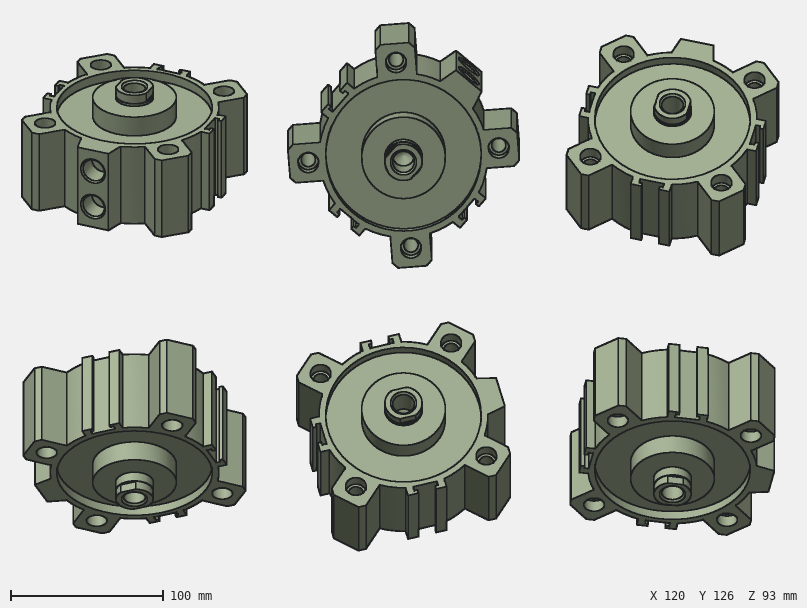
import cadquery as cq
import math

BARREL_HEIGHT = 57.2
BARREL_RADIUS = 55.5
HALF_SIDE = 60.0
TOP_Z = BARREL_HEIGHT / 2

RECESS_RADIUS = 51.0
RECESS_DEPTH = 6.7
BOSS_RADIUS = 27.5
BOSS_STANDOUT = 7.3
BOSS_TOP_Z = TOP_Z + BOSS_STANDOUT

EAR_WIDTH = 26.0
EAR_REACH = 75.5
EAR_HOLE_OFFSET = 44.4
EAR_HOLE_DIAMETER = 9.5
EAR_COUNTERBORE_DIAMETER = 13.5
EAR_COUNTERBORE_DEPTH = 8.7

RAIL_WIDTH = 26.2
SLOT_FLOOR = 54.4
SLOT_WIDTH = 16.1
SLOT_OPENING = 11.8
SLOT_LIP = 2.5
SLOT_DIRECTIONS = (0, 90, 180)

PORT_FACE_Y = -66.0
PORT_BLOCK_WIDTH = 22.2
PORT_BLOCK_TAPER = 14
PORT_SPACING = 26.5
PORT_DIAMETER = 15.4
PORT_MOUTH_DIAMETER = 17.6
PORT_DEPTH = 15.0

ROD_RADIUS = 12.5
COLLAR_TOP = 1.8
COLLAR_BOTTOM = 6.8
TIP_RADIUS = 12.2
TIP_LENGTH = 6.3
FLATS_LENGTH = 5.9
FLATS_WIDTH = 22.0
ROD_HOLE_DIAMETER = 14.2
ROD_HOLE_MOUTH_DIAMETER = 17.0
ROD_HOLE_DEPTH = 20.2
DRILL_POINT_ANGLE = 118


def column(outline):
    """Extrude an outline in XY over the full barrel height."""
    return outline.extrude(BARREL_HEIGHT)


def base_plane():
    """XY plane at the bottom face of the barrel."""
    return cq.Workplane("XY").workplane(offset=-TOP_Z)


def make_ear():
    """Ear at 45 degrees, trimmed to the common square."""
    bar = column(base_plane().center(EAR_REACH / 2, 0).rect(EAR_REACH, EAR_WIDTH))
    square = column(base_plane().rect(2 * HALF_SIDE, 2 * HALF_SIDE))
    return bar.rotate((0, 0, 0), (0, 0, 1), 45).intersect(square)


def make_ear_hole():
    """Through hole along Z with a counterbore at each end."""
    hole = column(base_plane().circle(EAR_HOLE_DIAMETER / 2))
    counterbore_z = TOP_Z - EAR_COUNTERBORE_DEPTH
    for z in (counterbore_z, -TOP_Z):
        counterbore = cq.Workplane("XY").workplane(offset=z).circle(EAR_COUNTERBORE_DIAMETER / 2)
        hole = hole.union(counterbore.extrude(EAR_COUNTERBORE_DEPTH))
    return hole.translate((EAR_HOLE_OFFSET, EAR_HOLE_OFFSET, 0))


def make_rail():
    """Block on the +X side that carries one T-slot."""
    return column(base_plane().center(HALF_SIDE / 2, 0).rect(HALF_SIDE, RAIL_WIDTH))


def make_slot():
    """T-slot cutter on the +X side."""
    lip_x = HALF_SIDE - SLOT_LIP
    wide = base_plane().center((SLOT_FLOOR + lip_x) / 2, 0).rect(lip_x - SLOT_FLOOR, SLOT_WIDTH)
    opening = base_plane().center((SLOT_FLOOR + HALF_SIDE) / 2, 0)
    opening = opening.rect(HALF_SIDE - SLOT_FLOOR, SLOT_OPENING)
    return column(wide).union(column(opening))


def make_port_block():
    """Block that narrows towards its outer face."""
    outer = PORT_BLOCK_WIDTH / 2
    root_y = -RECESS_RADIUS
    root = outer + (root_y - PORT_FACE_Y) * math.tan(math.radians(PORT_BLOCK_TAPER))
    outline = [(-root, root_y), (-outer, PORT_FACE_Y), (outer, PORT_FACE_Y), (root, root_y)]
    return column(base_plane().polyline(outline).close())


def make_port(z):
    """Flat-bottomed port with a 45 degree mouth chamfer."""
    radius = PORT_DIAMETER / 2
    mouth = PORT_MOUTH_DIAMETER / 2
    profile = [
        (0, 0),
        (mouth, 0),
        (radius, mouth - radius),
        (radius, PORT_DEPTH),
        (0, PORT_DEPTH),
    ]
    port = cq.Workplane("XY").polyline(profile).close().revolve(360, (0, 0), (0, 1))
    return port.translate((0, PORT_FACE_Y, z))


def turn(shape, angle):
    """Rotate a shape about the Z axis."""
    return shape.rotate((0, 0, 0), (0, 0, 1), angle)


def make_housing():
    """Barrel with ears, slot rails, port block, end recesses and a bored central boss."""
    body = column(base_plane().circle(BARREL_RADIUS))
    for quarter in range(4):
        body = body.union(turn(make_ear(), 90 * quarter))
    for angle in SLOT_DIRECTIONS:
        body = body.union(turn(make_rail(), angle))
    body = body.union(make_port_block())

    for quarter in range(4):
        body = body.cut(turn(make_ear_hole(), 90 * quarter))
    for angle in SLOT_DIRECTIONS:
        body = body.cut(turn(make_slot(), angle))
    for z in (-PORT_SPACING / 2, PORT_SPACING / 2):
        body = body.cut(make_port(z))

    for recess_z in (TOP_Z - RECESS_DEPTH, -TOP_Z):
        recess = cq.Workplane("XY").workplane(offset=recess_z).circle(RECESS_RADIUS)
        body = body.cut(recess.extrude(RECESS_DEPTH))
    boss = cq.Workplane("XY").workplane(offset=-BOSS_TOP_Z).circle(BOSS_RADIUS)
    body = body.union(boss.extrude(2 * BOSS_TOP_Z))
    bore = cq.Workplane("XY").workplane(offset=-BOSS_TOP_Z).circle(ROD_RADIUS)
    return body.cut(bore.extrude(2 * BOSS_TOP_Z))


def make_rod_hole():
    """Axial hole going down from z = 0: mouth chamfer, bore and drill point."""
    radius = ROD_HOLE_DIAMETER / 2
    mouth = ROD_HOLE_MOUTH_DIAMETER / 2
    point = radius / math.tan(math.radians(DRILL_POINT_ANGLE / 2))
    profile = [
        (0, 0),
        (mouth, 0),
        (radius, radius - mouth),
        (radius, -ROD_HOLE_DEPTH),
        (0, -ROD_HOLE_DEPTH - point),
    ]
    return cq.Workplane("XZ").polyline(profile).close().revolve(360, (0, 0), (0, 1))


def make_tip():
    """Rod tip rising from z = 0: a short round base, then two wrench flats."""
    base_length = TIP_LENGTH - FLATS_LENGTH
    base = cq.Workplane("XY").circle(TIP_RADIUS).extrude(base_length)
    flatted = cq.Workplane("XY").circle(TIP_RADIUS).extrude(TIP_LENGTH)
    flats = cq.Workplane("XY").rect(FLATS_WIDTH, 2 * TIP_RADIUS).extrude(TIP_LENGTH)
    return base.union(flatted.intersect(flats))


def make_rod():
    """Rod with a collar and a drilled, flatted tip at each end."""
    upper_z = BOSS_TOP_Z + COLLAR_TOP
    lower_z = -BOSS_TOP_Z - COLLAR_BOTTOM
    rod = cq.Workplane("XY").workplane(offset=lower_z).circle(ROD_RADIUS).extrude(upper_z - lower_z)

    tip = make_tip()
    rod = rod.union(tip.translate((0, 0, upper_z)))
    rod = rod.union(tip.mirror("XY").translate((0, 0, lower_z)))

    hole = make_rod_hole()
    rod = rod.cut(hole.translate((0, 0, upper_z + TIP_LENGTH)))
    return rod.cut(hole.mirror("XY").translate((0, 0, lower_z - TIP_LENGTH)))


housing = make_housing()
rod = make_rod()
result = cq.Compound.makeCompound([housing.val(), rod.val()])